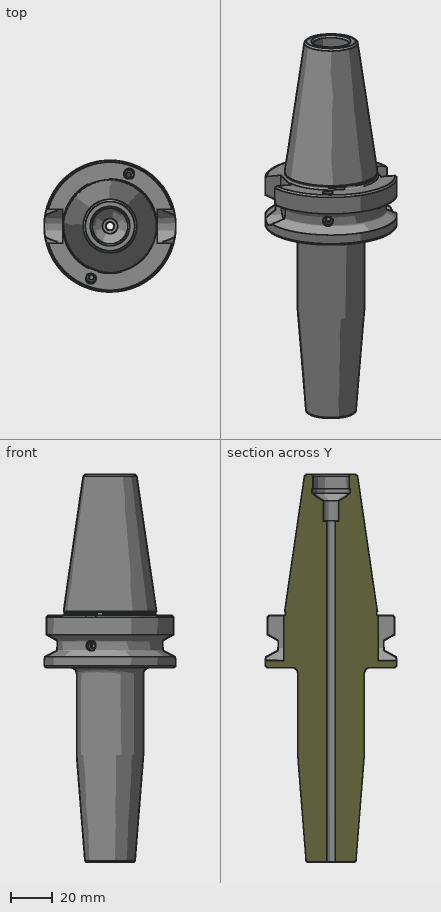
import cadquery as cq
import math

total_height = 185.4
gauge_height = 120.0
flange_gap = 2.0
flange_height = 25.0
flange_top = gauge_height - flange_gap
flange_bottom = flange_top - flange_height

gauge_radius = 44.5 / 2
taper_ratio = 7 / 24
taper_end_radius = gauge_radius - (total_height - gauge_height) * taper_ratio / 2
taper_end_chamfer = 1.0
neck_radius = 43.8 / 2
neck_chamfer = 0.5
neck_fillet = 0.7

flange_radius = 63.0 / 2
flange_chamfer = 1.0
groove_floor_radius = 53.0 / 2
groove_floor_width = 4.8
groove_center = flange_top - 14.5
groove_fillet = 0.7
groove_flank_angle = 30.0
groove_flank_width = (flange_radius - groove_floor_radius) * math.tan(math.radians(groove_flank_angle))

body_radius = 32.0 / 2
body_fillet = 2.8
nose_radius = 24.1 / 2
nose_chamfer = 0.7
nose_cone_height = 51.2

mouth_radius = 17.0 / 2
mouth_chamfer = 1.0
mouth_depth = 9.0
undercut_radius = 18.2 / 2
undercut_width = 2.0
seat_radius = 14.0 / 2
pocket_radius = 7.2 / 2
pocket_depth = 22.2
through_radius = 3.9 / 2
drill_half_angle = 59.0

slot_width = 16.1
slot_depth = 21.5
slot_floor_distance = 22.6

port_radius = 4.8 / 2
port_depth = 2.6
drill_radius = 2.6 / 2
inclined_drill_depth = 13.0
port_circle_radius = 26.7
port_angle = 70.0
port_tilt = 15.0
radial_drill_depth = 4.8
port_clearance = 5.5

ring_tolerance = 0.02


def round_ring(body, radius, height, fillet):
    """Fillet the circular edge of the given radius at the given height."""
    reach = radius + ring_tolerance
    low_corner = (-reach, -reach, height - ring_tolerance)
    high_corner = (reach, reach, height + ring_tolerance)
    slab = cq.selectors.BoxSelector(low_corner, high_corner, boundingbox=True)
    largest = cq.selectors.RadiusNthSelector(-1)
    return body.edges("%CIRCLE").edges(slab).edges(largest).fillet(fillet)


def make_body():
    """Revolve the outer outline around Z."""
    floor_top = groove_center + groove_floor_width / 2
    floor_bottom = groove_center - groove_floor_width / 2
    fillet_radius = body_radius + body_fillet
    fillet_bottom = flange_bottom - body_fillet
    arc_offset = body_fillet * math.sqrt(0.5)
    fillet_middle = (fillet_radius - arc_offset, fillet_bottom + arc_offset)
    chamfer_start_radius = taper_end_radius + taper_end_chamfer * taper_ratio / 2
    outline = (
        cq.Workplane("XZ")
        .lineTo(nose_radius - nose_chamfer, 0)
        .lineTo(nose_radius, nose_chamfer)
        .lineTo(body_radius, nose_cone_height)
        .lineTo(body_radius, fillet_bottom)
        .threePointArc(fillet_middle, (fillet_radius, flange_bottom))
        .lineTo(flange_radius - flange_chamfer, flange_bottom)
        .lineTo(flange_radius, flange_bottom + flange_chamfer)
        .lineTo(flange_radius, floor_bottom - groove_flank_width)
        .lineTo(groove_floor_radius, floor_bottom)
        .lineTo(groove_floor_radius, floor_top)
        .lineTo(flange_radius, floor_top + groove_flank_width)
        .lineTo(flange_radius, flange_top - flange_chamfer)
        .lineTo(flange_radius - flange_chamfer, flange_top)
        .lineTo(neck_radius, flange_top)
        .lineTo(neck_radius, gauge_height - neck_chamfer)
        .lineTo(gauge_radius, gauge_height)
        .lineTo(chamfer_start_radius, total_height - taper_end_chamfer)
        .lineTo(taper_end_radius - taper_end_chamfer, total_height)
        .lineTo(0, total_height)
        .close()
    )
    body = outline.revolve(360, (0, 0, 0), (0, 1, 0))
    body = round_ring(body, groove_floor_radius, floor_top, groove_fillet)
    body = round_ring(body, groove_floor_radius, floor_bottom, groove_fillet)
    return round_ring(body, neck_radius, flange_top, neck_fillet)


def make_bore():
    """Stepped bore: chamfered mouth, an undercut, two cones, a pocket and a through hole."""
    mouth_bottom = total_height - mouth_depth
    seat_top = mouth_bottom - (mouth_radius - seat_radius)
    pocket_top = seat_top - (seat_radius - pocket_radius) / math.tan(math.radians(drill_half_angle))
    pocket_bottom = total_height - pocket_depth
    outline = (
        cq.Workplane("XZ")
        .lineTo(through_radius, 0)
        .lineTo(through_radius, pocket_bottom)
        .lineTo(pocket_radius, pocket_bottom)
        .lineTo(pocket_radius, pocket_top)
        .lineTo(seat_radius, seat_top)
        .lineTo(mouth_radius, mouth_bottom)
        .lineTo(undercut_radius, mouth_bottom)
        .lineTo(undercut_radius, mouth_bottom + undercut_width)
        .lineTo(mouth_radius, mouth_bottom + undercut_width)
        .lineTo(mouth_radius, total_height - mouth_chamfer)
        .lineTo(mouth_radius + mouth_chamfer, total_height)
        .lineTo(0, total_height)
        .close()
    )
    return outline.revolve(360, (0, 0, 0), (0, 1, 0))


def make_drive_slot(side):
    """Round-ended slot open at the flange top, on the +X (1) or -X (-1) side."""
    half_width = slot_width / 2
    slot_bottom = flange_top - slot_depth
    length = flange_radius - slot_floor_distance
    outline = (
        cq.Workplane("YZ", origin=(side * slot_floor_distance, 0, 0))
        .moveTo(-half_width, flange_top)
        .lineTo(-half_width, slot_bottom + half_width)
        .threePointArc((0, slot_bottom), (half_width, slot_bottom + half_width))
        .lineTo(half_width, flange_top)
        .close()
    )
    return outline.extrude(side * length)


def make_port(mouth, inward, drill_depth):
    """Counterbored, cone-ended drilling along a direction, with clearance outside its mouth."""
    tip_length = drill_radius / math.tan(math.radians(drill_half_angle))
    start = mouth - inward * port_clearance
    drill_end = mouth + inward * drill_depth
    counterbore = cq.Solid.makeCylinder(port_radius, port_clearance + port_depth, start, inward)
    shank = cq.Solid.makeCylinder(drill_radius, drill_depth, mouth, inward)
    tip = cq.Solid.makeCone(drill_radius, 0, tip_length, drill_end, inward)
    return cq.Workplane(counterbore.fuse(shank, tip))


def cut_coolant_ports(body, angle):
    """Cut the inclined top port and the radial groove port at one angle about Z."""
    outward = cq.Vector(math.cos(math.radians(angle)), math.sin(math.radians(angle)), 0)
    tilt = math.radians(port_tilt)
    top_mouth = outward * port_circle_radius + cq.Vector(0, 0, flange_top)
    top_direction = cq.Vector(0, 0, -math.cos(tilt)) - outward * math.sin(tilt)
    groove_mouth = outward * groove_floor_radius + cq.Vector(0, 0, groove_center)
    body = body.cut(make_port(top_mouth, top_direction, inclined_drill_depth))
    return body.cut(make_port(groove_mouth, -outward, radial_drill_depth))


result = make_body().cut(make_bore())
for side in (1, -1):
    result = result.cut(make_drive_slot(side))
for angle in (port_angle, port_angle + 180):
    result = cut_coolant_ports(result, angle)